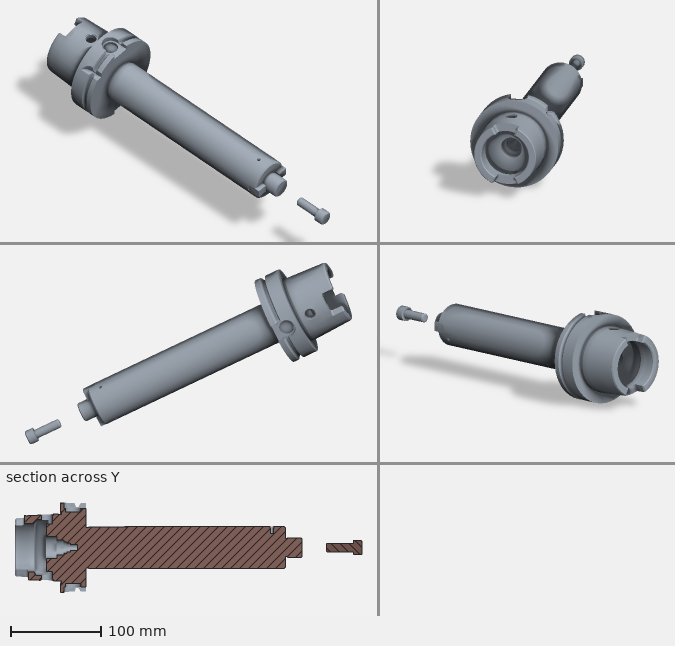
import cadquery as cq
import math


TAPER_LENGTH = 50.0
TAPER_BASE_DIA = 75.5
TAPER_RATIO = 0.1
TAPER_TIP_DIA = TAPER_BASE_DIA - TAPER_RATIO * TAPER_LENGTH
TIP_CHAMFER_LENGTH = 1.5
TIP_CHAMFER_DEPTH = 0.8
RELIEF_WIDTH = 3.0
RELIEF_RAMP = 1.0
RELIEF_DEPTH = 0.5
FACE_RECESS_DIA = 79.5
FACE_RECESS_DEPTH = 0.8

BORE_DIA = 53.0
BORE_CHAMFER = 1.0
BORE_STRAIGHT_DEPTH = 20.8
FLARE_ANGLE = 60.0
CLAMP_GROOVE_DIA = 61.5
CLAMP_GROOVE_END_X = -12.7
HUB_DIA = BORE_DIA
HUB_FACE_X = -15.8
COOLANT_STEPS = (
    (24.0, 11.5),
    (16.0, 19.2),
    (12.0, 23.0),
    (9.2, 27.0),
    (6.0, 34.5),
)

TIP_SLOT_INNER_WIDTH = 19.2
TIP_SLOT_OUTER_WIDTH = 34.0
TIP_SLOT_DEPTH_UPPER = 10.0
TIP_SLOT_DEPTH_LOWER = 14.2
TIP_SLOT_FILLET = 2.5
TIP_SLOT_CHAMFER = 1.5
TIP_SLOT_CHAMFER_ANGLE = 45.0
TIP_SLOT_OVERLAP = 3.0
ACCESS_HOLE_DIA = 12.0
ACCESS_SINK_DIA = 14.0
ACCESS_SINK_FLOOR_R = 35.8
ACCESS_HOLE_X = -15.0
ACCESS_HOLE_FLOOR_R = HUB_DIA / 2

FLANGE_DIA = 100.0
FLANGE_WIDTH = 29.0
GROOVE_FLOOR_DIA = 92.5
GROOVE_RIM_START = 16.0
GROOVE_FLOOR_START = 17.5
GROOVE_FLOOR_END = 20.5
GROOVE_RIM_END = 22.7

CUTTER_DIA = 20.0
CUTTER_STOP_X = 14.2
FLANGE_SLOT_FLOOR = 44.0
SLOT_HOLE_DIA = 16.0
SLOT_HOLE_DEPTH = 4.0
NOTCH_OFFSET = 32.0

SHANK_DIA = 47.0
SHANK_END_X = 250.0
SHANK_CHAMFER = 1.5
NECK_DIA = 46.0
NECK_LENGTH = 2.7
SHANK_HOLE_DIA = 2.5
SHANK_SINK_DIA = 4.0
SHANK_SINK_DEPTH = 2.0
SHANK_HOLE_X = 235.0
SHANK_HOLE_DEPTH = 7.7
SHANK_HOLE_COUNT = 3

PILOT_DIA = 22.0
PILOT_LENGTH = 18.5
PILOT_CHAMFER = 1.0
UNDERCUT_DIA = 20.5
UNDERCUT_WIDTH = 2.0
KEY_WIDTH = 10.0
KEY_START_X = 240.0
KEY_END_X = 255.3
KEY_OUTER = 22.7
KEY_INNER = PILOT_DIA / 2
KEY_CHAMFER = 2.5

SCREW_DIA = 10.0
SCREW_TIP_X = 295.0
SCREW_TIP_CHAMFER = 1.0
HEAD_DIA = 16.0
HEAD_LENGTH = 10.0
HEAD_END_X = 335.0
HEAD_CHAMFER = 1.0

REACH = 2 * FLANGE_DIA


def revolved(points):
    """Solid of revolution about X from (x, radius) points."""
    return cq.Workplane("XY").polyline(points).close().revolve(360, (0, 0, 0), (1, 0, 0))


def cylinder(dia, start_x, end_x):
    return cq.Workplane("YZ").workplane(offset=start_x).circle(dia / 2).extrude(end_x - start_x)


def box(x_range, y_range, z_range):
    size = [high - low for low, high in (x_range, y_range, z_range)]
    return cq.Workplane("XY").box(*size, centered=False).translate((x_range[0], y_range[0], z_range[0]))


def turned_body():
    tip_r = TAPER_TIP_DIA / 2
    flange_r = FLANGE_DIA / 2
    shank_r = SHANK_DIA / 2
    pilot_r = PILOT_DIA / 2
    relief_r = (TAPER_BASE_DIA - TAPER_RATIO * RELIEF_WIDTH) / 2
    neck_end = FLANGE_WIDTH + NECK_LENGTH
    pilot_end = SHANK_END_X + PILOT_LENGTH
    return revolved([
        (-TAPER_LENGTH, 0),
        (-TAPER_LENGTH, tip_r - TIP_CHAMFER_DEPTH),
        (-TAPER_LENGTH + TIP_CHAMFER_LENGTH, tip_r + TAPER_RATIO * TIP_CHAMFER_LENGTH / 2),
        (-RELIEF_WIDTH, relief_r),
        (-RELIEF_WIDTH + RELIEF_RAMP, relief_r - RELIEF_DEPTH),
        (FACE_RECESS_DEPTH, relief_r - RELIEF_DEPTH),
        (FACE_RECESS_DEPTH, FACE_RECESS_DIA / 2),
        (0, FACE_RECESS_DIA / 2),
        (0, flange_r),
        (GROOVE_RIM_START, flange_r),
        (GROOVE_FLOOR_START, GROOVE_FLOOR_DIA / 2),
        (GROOVE_FLOOR_END, GROOVE_FLOOR_DIA / 2),
        (GROOVE_RIM_END, flange_r),
        (FLANGE_WIDTH, flange_r),
        (FLANGE_WIDTH, NECK_DIA / 2),
        (neck_end, NECK_DIA / 2),
        (neck_end, shank_r),
        (SHANK_END_X - SHANK_CHAMFER, shank_r),
        (SHANK_END_X, shank_r - SHANK_CHAMFER),
        (SHANK_END_X, UNDERCUT_DIA / 2),
        (SHANK_END_X + UNDERCUT_WIDTH, UNDERCUT_DIA / 2),
        (SHANK_END_X + UNDERCUT_WIDTH, pilot_r),
        (pilot_end - PILOT_CHAMFER, pilot_r),
        (pilot_end, pilot_r - PILOT_CHAMFER),
        (pilot_end, 0),
    ])


def radial_hole(dia, x, floor_r, angle):
    """Hole from radius floor_r outwards, towards +Z turned by angle about X."""
    hole = cq.Workplane("XY").center(x, 0).circle(dia / 2).extrude(REACH)
    return hole.translate((0, 0, floor_r)).rotate((0, 0, 0), (1, 0, 0), angle)


def bore():
    bore_r = BORE_DIA / 2
    groove_r = CLAMP_GROOVE_DIA / 2
    flare_start = -TAPER_LENGTH + BORE_STRAIGHT_DEPTH
    flare_end = flare_start + (groove_r - bore_r) / math.tan(math.radians(FLARE_ANGLE))
    cut = revolved([
        (-TAPER_LENGTH, 0),
        (-TAPER_LENGTH, bore_r + BORE_CHAMFER),
        (-TAPER_LENGTH + BORE_CHAMFER, bore_r),
        (flare_start, bore_r),
        (flare_end, groove_r),
        (CLAMP_GROOVE_END_X, groove_r),
        (CLAMP_GROOVE_END_X, HUB_DIA / 2),
        (HUB_FACE_X, HUB_DIA / 2),
        (HUB_FACE_X, 0),
    ])
    for dia, depth in COOLANT_STEPS:
        cut = cut.union(cylinder(dia, HUB_FACE_X, HUB_FACE_X + depth))
    return cut


def tip_slot_outline():
    inner_half = TIP_SLOT_INNER_WIDTH / 2
    outer_half = TIP_SLOT_OUTER_WIDTH / 2
    inner_z = BORE_DIA / 2 - TIP_SLOT_OVERLAP
    outer_z = TAPER_BASE_DIA / 2
    return (
        cq.Workplane("YZ", origin=(-TAPER_LENGTH, 0, 0))
        .polyline([
            (-inner_half, inner_z),
            (inner_half, inner_z),
            (outer_half, outer_z),
            (-outer_half, outer_z),
        ])
        .close()
    )


def tip_slot(depth, angle):
    """Drive slot in the taper tip, wider at the outside, towards +Z turned by angle about X."""
    slot = tip_slot_outline().extrude(depth)
    slot = slot.faces(">X").edges("not(|Y)").fillet(TIP_SLOT_FILLET)
    mouth = tip_slot_outline().offset2D(TIP_SLOT_CHAMFER, "intersection")
    mouth = mouth.extrude(TIP_SLOT_CHAMFER, taper=TIP_SLOT_CHAMFER_ANGLE)
    return slot.union(mouth).rotate((0, 0, 0), (1, 0, 0), angle)


def access_hole(angle):
    hole = radial_hole(ACCESS_HOLE_DIA, ACCESS_HOLE_X, ACCESS_HOLE_FLOOR_R, angle)
    return hole.union(radial_hole(ACCESS_SINK_DIA, ACCESS_HOLE_X, ACCESS_SINK_FLOOR_R, angle))


def milled_slot(center_y, floor_z):
    """Round-ended cut of the cutter's width, from its stop out through the back of the flange."""
    radius = CUTTER_DIA / 2
    end = cq.Workplane("XY").center(CUTTER_STOP_X, center_y).circle(radius).extrude(REACH)
    run = box((CUTTER_STOP_X, FLANGE_WIDTH), (center_y - radius, center_y + radius), (0, REACH))
    return end.union(run).translate((0, 0, floor_z))


def flange_slot(angle):
    hole = radial_hole(SLOT_HOLE_DIA, CUTTER_STOP_X, FLANGE_SLOT_FLOOR - SLOT_HOLE_DEPTH, angle)
    return milled_slot(0, FLANGE_SLOT_FLOOR).rotate((0, 0, 0), (1, 0, 0), angle).union(hole)


def corner_notch():
    return milled_slot(-NOTCH_OFFSET - CUTTER_DIA / 2, NOTCH_OFFSET)


def shank_hole(angle):
    surface_r = SHANK_DIA / 2
    hole = radial_hole(SHANK_HOLE_DIA, SHANK_HOLE_X, surface_r - SHANK_HOLE_DEPTH, angle)
    return hole.union(radial_hole(SHANK_SINK_DIA, SHANK_HOLE_X, surface_r - SHANK_SINK_DEPTH, angle))


def key_block(end_x, y_range):
    half = KEY_WIDTH / 2
    block = box((KEY_START_X, end_x), y_range, (-half, half))
    return block.edges("<X and |Y").chamfer(KEY_CHAMFER)


def make_arbor():
    arbor = turned_body().cut(bore())
    for depth, angle in ((TIP_SLOT_DEPTH_UPPER, 0), (TIP_SLOT_DEPTH_LOWER, 180)):
        arbor = arbor.cut(tip_slot(depth, angle)).cut(access_hole(angle))
    for angle in (0, 180):
        arbor = arbor.cut(flange_slot(angle))
    arbor = arbor.cut(corner_notch())
    for index in range(SHANK_HOLE_COUNT):
        arbor = arbor.cut(shank_hole(index * 360 / SHANK_HOLE_COUNT))
    for angle in (0, 180):
        seat = key_block(SHANK_END_X, (KEY_OUTER, SHANK_DIA)).rotate((0, 0, 0), (1, 0, 0), angle)
        key = key_block(KEY_END_X, (KEY_INNER, KEY_OUTER)).rotate((0, 0, 0), (1, 0, 0), angle)
        arbor = arbor.cut(seat).union(key)
    return arbor


def make_screw():
    head_start = HEAD_END_X - HEAD_LENGTH
    return revolved([
        (SCREW_TIP_X, 0),
        (SCREW_TIP_X, SCREW_DIA / 2 - SCREW_TIP_CHAMFER),
        (SCREW_TIP_X + SCREW_TIP_CHAMFER, SCREW_DIA / 2),
        (head_start, SCREW_DIA / 2),
        (head_start, HEAD_DIA / 2),
        (HEAD_END_X - HEAD_CHAMFER, HEAD_DIA / 2),
        (HEAD_END_X, HEAD_DIA / 2 - HEAD_CHAMFER),
        (HEAD_END_X, 0),
    ])


arbor = make_arbor()
screw = make_screw()
result = cq.Compound.makeCompound([arbor.val(), screw.val()])